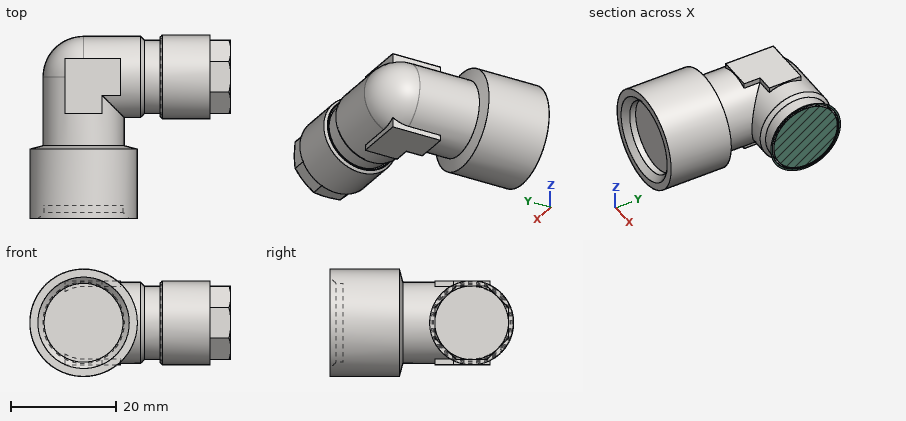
import cadquery as cq
import math


body_radius = 7.75
arm_end = 11.6
neck_radius = 7.0
arm_chamfer = body_radius - neck_radius

nut_radius = 8.0
nut_start = 14.5
nut_chamfer = 0.5
nut_end = 24.1
nut_recess_radius = 7.3
neck_end = 14.7
neck_flare = nut_recess_radius - neck_radius
octagon_across_flats = 14.0
octagon_sides = 8
octagon_end = 28.0
octagon_tip_radius = 7.02
octagon_bevel_angle = 30.0

socket_radius = 10.25
socket_end = 27.0
socket_length = 13.25
socket_shoulder_angle = 15.0
bore_radius = 7.5
bore_mouth_radius = 8.7
bore_mouth_depth = bore_mouth_radius - bore_radius
bore_depth = 2.5

pad_half_width = 3.5
pad_reach = 2 * pad_half_width
pad_height = 8.0


def revolve_about_x(points):
    """Solid of revolution about X from a closed (x, radius) profile."""
    return cq.Workplane("XY").polyline(points).close().revolve(360, (0, 0, 0), (1, 0, 0))


def revolve_along_minus_y(points):
    """Solid of revolution about Y from a closed (radius, distance along -Y) profile."""
    profile = [(radius, -distance) for radius, distance in points]
    return cq.Workplane("XY").polyline(profile).close().revolve(360, (0, 0, 0), (0, 1, 0))


def make_nut_arm():
    """Stepped X arm with the nut; a shallow annular recess separates neck and nut."""
    return revolve_about_x([
        (0, 0),
        (0, body_radius),
        (arm_end - arm_chamfer, body_radius),
        (arm_end, neck_radius),
        (neck_end, neck_radius),
        (neck_end + neck_flare, nut_recess_radius),
        (nut_start, nut_recess_radius),
        (nut_start, nut_radius - nut_chamfer),
        (nut_start + nut_chamfer, nut_radius),
        (nut_end, nut_radius),
        (nut_end, 0),
    ])


def make_octagon():
    """Octagonal wrench end with flats facing Y and Z and bevelled outer corners."""
    corner_radius = octagon_across_flats / 2 / math.cos(math.pi / octagon_sides)
    bevel_length = (corner_radius - octagon_tip_radius) * math.tan(math.radians(octagon_bevel_angle))
    prism = (
        cq.Workplane("YZ")
        .workplane(offset=nut_end)
        .transformed(rotate=(0, 0, 180 / octagon_sides))
        .polygon(octagon_sides, 2 * corner_radius)
        .extrude(octagon_end - nut_end)
    )
    bevelled_envelope = revolve_about_x([
        (nut_end, 0),
        (nut_end, corner_radius),
        (octagon_end - bevel_length, corner_radius),
        (octagon_end, octagon_tip_radius),
        (octagon_end, 0),
    ])
    return prism.intersect(bevelled_envelope)


def make_socket_arm():
    socket_start = socket_end - socket_length
    shoulder_length = (socket_radius - body_radius) * math.tan(math.radians(socket_shoulder_angle))
    return revolve_along_minus_y([
        (0, 0),
        (body_radius, 0),
        (body_radius, socket_start - shoulder_length),
        (socket_radius, socket_start),
        (socket_radius, socket_end),
        (0, socket_end),
    ])


def make_bore():
    """Blind bore in the socket face with a conical mouth."""
    return revolve_along_minus_y([
        (0, socket_end - bore_depth),
        (bore_radius, socket_end - bore_depth),
        (bore_radius, socket_end - bore_mouth_depth),
        (bore_mouth_radius, socket_end),
        (0, socket_end),
    ])


def make_pads():
    """L-shaped block through the elbow whose two faces form the pads."""
    return (
        cq.Workplane("XY")
        .polyline([
            (-pad_half_width, pad_half_width),
            (pad_reach, pad_half_width),
            (pad_reach, -pad_half_width),
            (pad_half_width, -pad_half_width),
            (pad_half_width, -pad_reach),
            (-pad_half_width, -pad_reach),
        ])
        .close()
        .extrude(pad_height, both=True)
    )


corner_ball = cq.Workplane("XY").sphere(body_radius)

result = (
    make_nut_arm()
    .union(make_socket_arm())
    .union(corner_ball)
    .union(make_octagon())
    .union(make_pads())
    .cut(make_bore())
)